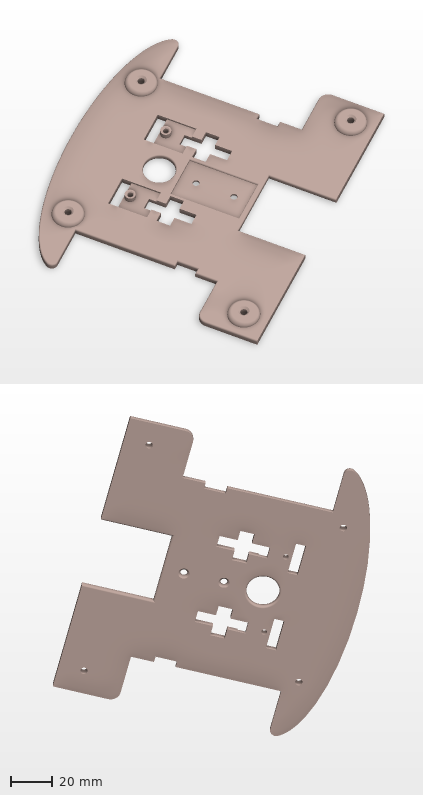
import cadquery as cq
LENGTH = 132.58
WIDTH = 150.0
PLATE_THICKNESS = 3.2
EDGE_RADIUS = 1.0
HALF_WIDTH = WIDTH / 2

BUMPER_DEPTH = 25.0
BUMPER_TIP_RADIUS = 3.0
BODY_HALF_WIDTH = 50.0
NOTCH_START_X = 77.7
NOTCH_END_X = 88.5
NOTCH_DEPTH = 3.0
REAR_LOBE_X = 100.0
REAR_LOBE_RADIUS = 5.0
REAR_CUTOUT_X = 97.0
REAR_CUTOUT_HALF_WIDTH = 18.0

BOSS_CENTERS = [(18.0, 43.1), (120.1, 63.1)]
BOSS_DIAMETER = 16.0
BOSS_TOP_Z = 6.0
BOSS_ROUND = 3.0
BOSS_HOLE_DIAMETER = 3.5
BOSS_HOLE_CHAMFER = 1.0

SENSOR_Y = 21.0
SENSOR_WIDTH = 16.3
PAD_START_X = 33.0
PAD_END_X = 53.6
PAD_DEPTH = 1.0
SLOT_LENGTH = 5.0
STANDOFF_X = 41.0
STANDOFF_DIAMETER = 5.4
STANDOFF_TOP_Z = 5.0
STANDOFF_HOLE_DIAMETER = 2.8
STANDOFF_HOLE_CHAMFER = 0.5
CROSS_X = 62.2
CROSS_LENGTH = 25.2
CROSS_BAR_WIDTH = 6.0
CROSS_STEM_LENGTH = 7.2

CABLE_HOLE_X = 47.0
CABLE_HOLE_DIAMETER = 16.0
CABLE_HOLE_RADIUS = 1.0

TRAY_START_X = 58.2
TRAY_END_X = 95.0
TRAY_WIDTH = 24.0
TRAY_DEPTH = 1.0
TRAY_HOLES_X = [66.5, 86.5]
TRAY_HOLE_DIAMETER = 3.4
TRAY_HOLE_CHAMFER = 1.0


def box(x_start, x_end, y_center, width, z_start, z_end):
    """Block between two X and two Z positions, centred on y_center."""
    return (
        cq.Workplane("XY", origin=((x_start + x_end) / 2, y_center, z_start))
        .rect(x_end - x_start, width)
        .extrude(z_end - z_start)
    )


def cylinder(x, y, diameter, z_start, z_end):
    return cq.Workplane("XY", origin=(x, y, z_start)).circle(diameter / 2).extrude(z_end - z_start)


def chamfered_hole(x, y, diameter, top_z, chamfer):
    """Cutter for a through hole with a conical lead-in that ends at top_z."""
    mouth = (
        cq.Workplane("XY", origin=(x, y, top_z))
        .circle(diameter / 2 + chamfer)
        .workplane(offset=-chamfer)
        .circle(diameter / 2)
        .loft()
    )
    return cylinder(x, y, diameter, 0, top_z).union(mouth)


def make_plate():
    bumper = (
        cq.Workplane("XY", origin=(BUMPER_DEPTH, 0, 0))
        .ellipse(BUMPER_DEPTH, HALF_WIDTH)
        .extrude(PLATE_THICKNESS)
        .intersect(box(0, BUMPER_DEPTH, 0, WIDTH, 0, PLATE_THICKNESS))
        .edges("|Z and >X")
        .fillet(BUMPER_TIP_RADIUS)
    )
    body = box(BUMPER_DEPTH - EDGE_RADIUS, LENGTH, 0, 2 * BODY_HALF_WIDTH, 0, PLATE_THICKNESS)
    lobes = (
        box(REAR_LOBE_X, LENGTH, 0, WIDTH, 0, PLATE_THICKNESS)
        .edges("|Z and <X")
        .fillet(REAR_LOBE_RADIUS)
    )
    plate = bumper.union(body).union(lobes)
    plate = plate.cut(
        box(REAR_CUTOUT_X, LENGTH, 0, 2 * REAR_CUTOUT_HALF_WIDTH, 0, PLATE_THICKNESS)
    )
    for side in (1, -1):
        plate = plate.cut(
            box(NOTCH_START_X, NOTCH_END_X, side * BODY_HALF_WIDTH, 2 * NOTCH_DEPTH, 0, PLATE_THICKNESS)
        )
    plate = plate.faces(">Z").edges("not >X").fillet(EDGE_RADIUS)
    cutout_region = cq.selectors.BoxSelector(
        (REAR_CUTOUT_X - EDGE_RADIUS, -REAR_CUTOUT_HALF_WIDTH - EDGE_RADIUS, -EDGE_RADIUS),
        (LENGTH - EDGE_RADIUS, REAR_CUTOUT_HALF_WIDTH + EDGE_RADIUS, EDGE_RADIUS),
    )
    return plate.faces("<Z").edges(cutout_region).fillet(EDGE_RADIUS)


def add_boss(part, x, y):
    dome = cylinder(x, y, BOSS_DIAMETER, 0, BOSS_TOP_Z).faces(">Z").edges().fillet(BOSS_ROUND)
    return part.union(dome).cut(chamfered_hole(x, y, BOSS_HOLE_DIAMETER, BOSS_TOP_Z, BOSS_HOLE_CHAMFER))


def add_sensor_opening(part, y):
    pad_z = PLATE_THICKNESS - PAD_DEPTH
    part = part.cut(box(PAD_START_X, PAD_END_X, y, SENSOR_WIDTH, pad_z, PLATE_THICKNESS))
    part = part.cut(box(PAD_START_X, PAD_START_X + SLOT_LENGTH, y, SENSOR_WIDTH, 0, PLATE_THICKNESS))
    for length, width in ((CROSS_LENGTH, CROSS_BAR_WIDTH), (CROSS_STEM_LENGTH, SENSOR_WIDTH)):
        part = part.cut(box(CROSS_X - length / 2, CROSS_X + length / 2, y, width, 0, PLATE_THICKNESS))
    part = part.union(cylinder(STANDOFF_X, y, STANDOFF_DIAMETER, pad_z, STANDOFF_TOP_Z))
    return part.cut(
        chamfered_hole(STANDOFF_X, y, STANDOFF_HOLE_DIAMETER, STANDOFF_TOP_Z, STANDOFF_HOLE_CHAMFER)
    )


def cut_tray(part):
    """Shallow tray with a square front wall, rounded rims on the other three sides and two screw holes."""
    floor_z = PLATE_THICKNESS - TRAY_DEPTH
    floor_end_x = TRAY_END_X - EDGE_RADIUS
    floor_width = TRAY_WIDTH - 2 * EDGE_RADIUS
    rim = (
        box(TRAY_START_X, TRAY_END_X + EDGE_RADIUS, 0, TRAY_WIDTH + 2 * EDGE_RADIUS, 0, PLATE_THICKNESS)
        .cut(box(TRAY_START_X, floor_end_x, 0, floor_width, 0, PLATE_THICKNESS))
        .faces(">Z")
        .edges(cq.selectors.BoxSelector(
            (TRAY_START_X + EDGE_RADIUS, -TRAY_WIDTH / 2, floor_z),
            (TRAY_END_X, TRAY_WIDTH / 2, PLATE_THICKNESS + EDGE_RADIUS),
        ))
        .fillet(EDGE_RADIUS)
    )
    tray = box(TRAY_START_X, TRAY_END_X, 0, TRAY_WIDTH, floor_z, PLATE_THICKNESS).cut(rim)
    part = part.cut(tray)
    for x in TRAY_HOLES_X:
        hole = chamfered_hole(x, 0, TRAY_HOLE_DIAMETER, PLATE_THICKNESS, TRAY_HOLE_CHAMFER)
        part = part.cut(hole.mirror("XY", (0, 0, PLATE_THICKNESS / 2)))
    return part


def cut_cable_hole(part):
    """Round cable opening with its rim rounded above and below."""
    hole = cylinder(CABLE_HOLE_X, 0, CABLE_HOLE_DIAMETER, 0, PLATE_THICKNESS)
    part = part.cut(hole)
    for z in (0, PLATE_THICKNESS):
        rim = part.edges(cq.selectors.NearestToPointSelector((CABLE_HOLE_X, 0, z)))
        part = rim.fillet(CABLE_HOLE_RADIUS)
    return part


result = make_plate()
result = cut_tray(result)
result = cut_cable_hole(result)
for side in (1, -1):
    result = add_sensor_opening(result, side * SENSOR_Y)
    for boss_x, boss_y in BOSS_CENTERS:
        result = add_boss(result, boss_x, side * boss_y)